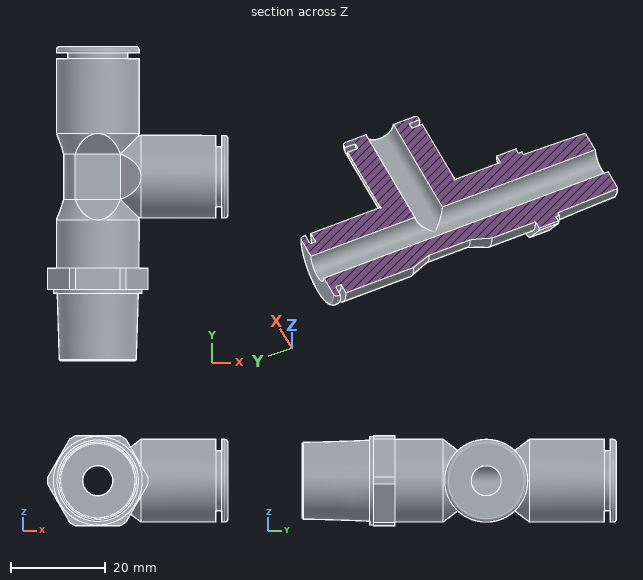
import cadquery as cq
import math


port_radius = 8.75
bore_diameter = 6.3
neck_radius = 7.2
flat_height = 5.4
cone_end = 9.1

port_length = 24.9
port_overall = 27.45
collar_thickness = 1.35
collar_edge = 0.75
sleeve_radius = 6.35

total_length = 66.29
hex_start = 19.25
hex_width = 4.55
hex_across_flats = 19.05
hex_corner_radius = 10.6
washer_radius = 9.35
washer_width = 0.8
thread_start_radius = 8.58
thread_taper = 1 / 16
tip_chamfer = 0.3

flat_half_width = math.sqrt(neck_radius**2 - flat_height**2)
hex_across_corners = hex_across_flats / math.cos(math.radians(30))
hex_end = hex_start + hex_width
washer_end = hex_end + washer_width
tip = total_length - port_overall
thread_tip_radius = thread_start_radius - (tip - washer_end) * thread_taper / 2


def shaft(radius, start, end):
    """Cylinder along +Y between two distances from the crossing."""
    plane = cq.Workplane("XZ", origin=(0, start, 0))
    return plane.circle(radius).extrude(start - end)


def flared_leg(end):
    """Leg along +Y: neck, cone and cylinder, with sloping flats cut above and below."""
    leg = (
        cq.Workplane("XY")
        .moveTo(0, 0)
        .lineTo(neck_radius, 0)
        .lineTo(neck_radius, flat_half_width)
        .lineTo(port_radius, cone_end)
        .lineTo(port_radius, end)
        .lineTo(0, end)
        .close()
        .revolve(360, (0, 0), (0, 1))
    )
    side_outline = (
        cq.Workplane("YZ", origin=(-port_radius, 0, 0))
        .moveTo(0, flat_height)
        .lineTo(flat_half_width, flat_height)
        .lineTo(cone_end, port_radius)
        .lineTo(end, port_radius)
        .lineTo(end, -port_radius)
        .lineTo(cone_end, -port_radius)
        .lineTo(flat_half_width, -flat_height)
        .lineTo(0, -flat_height)
        .close()
        .extrude(2 * port_radius)
    )
    return leg.intersect(side_outline)


def tube_port():
    """Flared leg along +Y with its release sleeve and collar."""
    sleeve = shaft(sleeve_radius, port_length, port_overall)
    collar = shaft(port_radius, port_overall - collar_thickness, port_overall)
    collar = collar.faces(">Y").edges().fillet(collar_edge)
    return flared_leg(port_length).union(sleeve).union(collar)


def male_leg():
    """Flared leg along +Y with hexagon, washer face and tapered thread envelope."""
    hexagon = (
        cq.Workplane("XZ", origin=(0, hex_start, 0))
        .polygon(6, hex_across_corners)
        .extrude(-hex_width)
        .intersect(shaft(hex_corner_radius, hex_start, hex_end))
    )
    washer = shaft(washer_radius, hex_end, washer_end)
    thread = (
        cq.Workplane("XY")
        .moveTo(0, washer_end)
        .lineTo(thread_start_radius, washer_end)
        .lineTo(thread_tip_radius, tip)
        .lineTo(0, tip)
        .close()
        .revolve(360, (0, 0), (0, 1))
        .faces(">Y")
        .edges()
        .chamfer(tip_chamfer)
    )
    return flared_leg(hex_start).union(hexagon).union(washer).union(thread)


def turned(leg, angle):
    """Turn a +Y leg about Z."""
    return leg.rotate((0, 0, 0), (0, 0, 1), angle)


def bores():
    """Straight passage through the run, joined by the branch passage."""
    bore_radius = bore_diameter / 2
    run = shaft(bore_radius, -tip, port_overall)
    branch = turned(shaft(bore_radius, 0, port_overall), -90)
    return run.union(branch)


run_port = tube_port()
branch_port = turned(tube_port(), -90)
male_end = turned(male_leg(), 180)

result = run_port.union(male_end).union(branch_port).cut(bores())